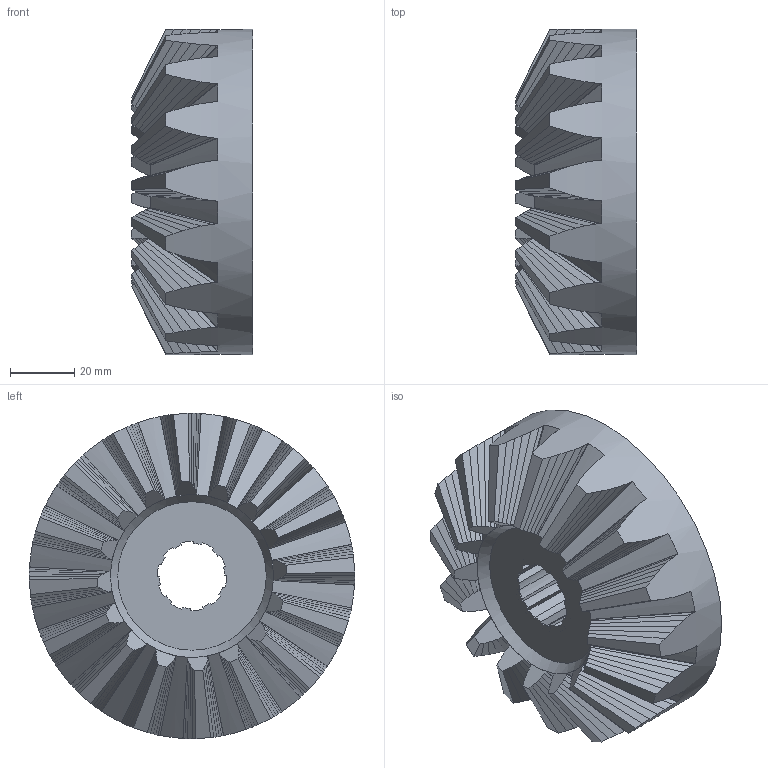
import cadquery as cq

outer_radius = 101.6 / 2
length = 37.79
apex_x = -14.9
tip_x_outer = 10.73
root_x_outer = 27.0
pitch_slope = 0.68

tooth_count = 16
tooth_phase = 4.0
tip_half_width = 2.3
root_half_width = 6.42
flank_exponent = 1.5
flank_heights = (1, 0.84, 0.67, 0.50, 0.31, 0.11, 0)
tooth_embed = 1.0
tooth_overshoot = 1.03

hub_radius = 23.2
bore_radius = 10.2
spline_radius = 25.4 / 2
lip_radius = 10.85
lip_depth = 0.3
spline_count = 10
spline_width = 3.85
tooth_pitch_angle = 360 / tooth_count
spline_phase = tooth_phase + tooth_pitch_angle

tip_slope = (tip_x_outer - apex_x) / outer_radius
root_slope = (root_x_outer - apex_x) / outer_radius
tip_inner_radius = -apex_x / tip_slope
inner_end_distance = pitch_slope * -apex_x + tip_inner_radius
root_inner_radius = inner_end_distance / (1 + pitch_slope * root_slope)
root_inner_x = apex_x + root_slope * root_inner_radius
hub_x = root_inner_x + (root_inner_radius - hub_radius) / pitch_slope


def cylinder(radius, start_x, end_x):
    """Cylinder on the gear axis."""
    return cq.Workplane("YZ", origin=(start_x, 0, 0)).circle(radius).extrude(end_x - start_x)


def make_body():
    """Solid below the gap floors: back cylinder, root cone and dished front."""
    profile = [
        (length, 0),
        (length, outer_radius),
        (root_x_outer, outer_radius),
        (root_inner_x, root_inner_radius),
        (hub_x, hub_radius),
        (hub_x, 0),
    ]
    return cq.Workplane("XY").polyline(profile).close().revolve(360, (0, 0, 0), (1, 0, 0))


def tooth_section():
    """Tooth outline as (x, half width) pairs from tip to base, in the plane touching the outer cylinder."""
    half = []
    for height in flank_heights:
        x = root_x_outer - height * (root_x_outer - tip_x_outer)
        half_width = root_half_width - (root_half_width - tip_half_width) * height**flank_exponent
        half.append((x, half_width))
    half.append((root_x_outer + tooth_embed, root_half_width))
    return half + [(x, -half_width) for x, half_width in reversed(half)]


def tooth_wire(scale_at):
    """Section scaled towards the apex by a factor that may depend on x; the tooth points to -Y."""
    points = []
    for x, half_width in tooth_section():
        scale = scale_at(x)
        points.append(cq.Vector(apex_x + (x - apex_x) * scale, -outer_radius * scale, half_width * scale))
    return cq.Wire.makePolygon(points, close=True)


def inner_end_scale(x):
    """Scale that puts a section point at x on the flat inner end of the tooth."""
    return inner_end_distance / (pitch_slope * (x - apex_x) + outer_radius)


def make_tooth():
    """One tooth with faceted flanks that converge on the apex, trimmed to the outer cylinder."""
    inner_end = tooth_wire(inner_end_scale)
    outer_end = tooth_wire(lambda x: tooth_overshoot)
    blank = cq.Workplane(cq.Solid.makeLoft([inner_end, outer_end], True))
    return blank.intersect(cylinder(outer_radius, 0, length))


def turned(shape, angle):
    """Turn a shape pointing to -Y about the X axis, from -Y towards +Z."""
    return shape.rotate((0, 0, 0), (1, 0, 0), -angle)


def make_bore():
    """Splined through bore; a thin lip at the hub face leaves only the inner part of each groove open."""
    lip_end_x = hub_x + lip_depth
    bore = cylinder(bore_radius, 0, length)
    groove_envelope = cylinder(lip_radius, 0, lip_end_x).union(cylinder(spline_radius, lip_end_x, length))
    bar = cq.Workplane("XY").box(length, spline_radius, spline_width, centered=(False, False, True))
    groove = bar.translate((0, -spline_radius, 0)).intersect(groove_envelope)
    for i in range(spline_count):
        bore = bore.union(turned(groove, spline_phase + i * 360 / spline_count))
    return bore


gear = make_body()
tooth = make_tooth()
for i in range(tooth_count):
    gear = gear.union(turned(tooth, tooth_phase + i * tooth_pitch_angle))

result = gear.cut(make_bore()).solids()